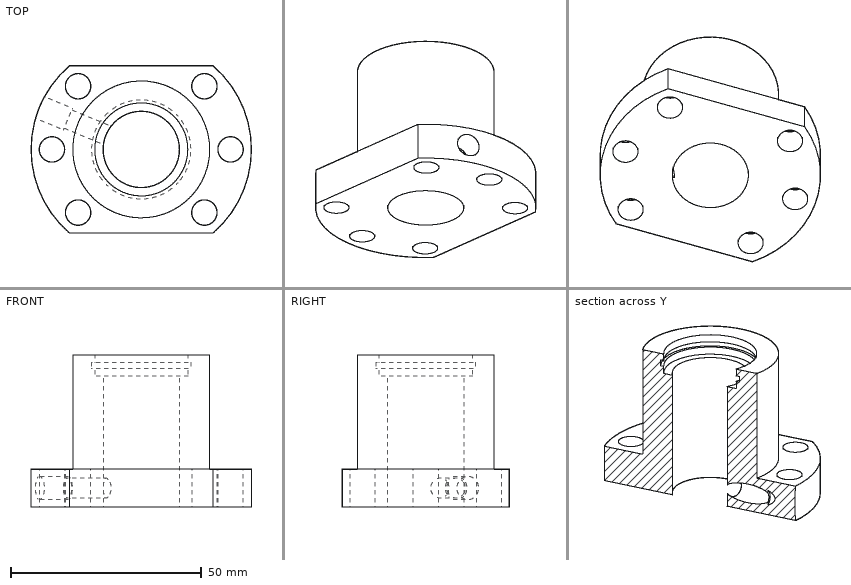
import cadquery as cq
import math

flange_diameter = 58.0
flange_width = 44.0
flange_thickness = 10.0

total_height = 40.0
body_diameter = 36.0
bore_diameter = 20.0

seat_diameter = 24.5
seat_depth = 5.55
groove_diameter = 26.1
groove_width = 1.5
groove_offset = 2.05

bolt_circle_diameter = 47.0
bolt_hole_diameter = 6.6
bolt_spacing = 45.0

oil_port_diameter = 6.15
oil_passage_diameter = 5.2
oil_port_floor_radius = 20.9
oil_port_angle = 180.0 - bolt_spacing / 2


def cylinder(diameter, height, bottom=0.0):
    """Upright cylinder on the main axis."""
    return cq.Workplane("XY").workplane(offset=bottom).circle(diameter / 2).extrude(height)


def make_flange():
    """Round flange with two parallel flats facing along Y."""
    flats = cq.Workplane("XY").box(
        flange_diameter, flange_width, flange_thickness, centered=(True, True, False)
    )
    return cylinder(flange_diameter, flange_thickness).intersect(flats)


def make_bolt_holes():
    """Three through holes at each rounded end of the flange."""
    radius = bolt_circle_diameter / 2
    centers = []
    for end_angle in (0.0, 180.0):
        for step in (-1, 0, 1):
            angle = math.radians(end_angle + step * bolt_spacing)
            centers.append((radius * math.cos(angle), radius * math.sin(angle)))
    return (
        cq.Workplane("XY")
        .pushPoints(centers)
        .circle(bolt_hole_diameter / 2)
        .extrude(flange_thickness)
    )


def make_oil_hole():
    """Wide port from the rim, narrowing to a passage that reaches the bore."""
    port = (
        cq.Workplane("YZ", origin=(oil_port_floor_radius, 0, flange_thickness / 2))
        .circle(oil_port_diameter / 2)
        .extrude(flange_diameter / 2 - oil_port_floor_radius)
    )
    passage = (
        cq.Workplane("YZ", origin=(0, 0, flange_thickness / 2))
        .circle(oil_passage_diameter / 2)
        .extrude(oil_port_floor_radius)
    )
    return port.union(passage).rotate((0, 0, 0), (0, 0, 1), oil_port_angle)


result = make_flange().union(cylinder(body_diameter, total_height))
result = result.cut(cylinder(bore_diameter, total_height))
result = result.cut(cylinder(seat_diameter, seat_depth, total_height - seat_depth))
result = result.cut(
    cylinder(groove_diameter, groove_width, total_height - groove_offset - groove_width)
)
result = result.cut(make_bolt_holes())
result = result.cut(make_oil_hole())